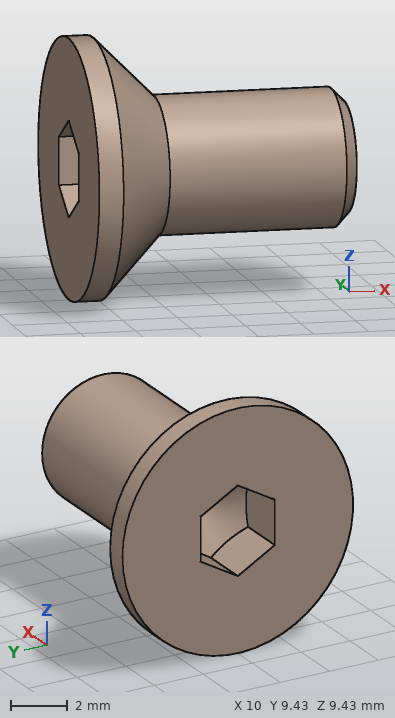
import cadquery as cq
import math

length = 10.0
head_diameter = 9.43
shank_diameter = 5.0
rim_thickness = 0.88
tip_chamfer = 0.48

socket_flats = 3.02
socket_depth = 1.9
drill_point_angle = 120.0

head_radius = head_diameter / 2
shank_radius = shank_diameter / 2
head_height = rim_thickness + head_radius - shank_radius
socket_corner_radius = socket_flats / math.sqrt(3)
drill_point_height = socket_corner_radius / math.tan(math.radians(drill_point_angle / 2))


def make_body():
    """Revolve the half profile of head, shank and chamfered tip about X."""
    profile = [
        (0, 0),
        (0, head_radius),
        (rim_thickness, head_radius),
        (head_height, shank_radius),
        (length - tip_chamfer, shank_radius),
        (length, shank_radius - tip_chamfer),
        (length, 0),
    ]
    return cq.Workplane("XY").polyline(profile).close().revolve(360, (0, 0), (1, 0))


def make_socket():
    """Hexagonal prism, corners on +Z and -Z, trimmed to a conical bottom."""
    full_depth = socket_depth + drill_point_height
    hexagon = (
        cq.Workplane("YZ")
        .polygon(6, 2 * socket_corner_radius)
        .extrude(full_depth)
        .rotate((0, 0, 0), (1, 0, 0), 90)
    )
    drill_profile = [
        (0, 0),
        (0, socket_corner_radius),
        (socket_depth, socket_corner_radius),
        (full_depth, 0),
    ]
    drill = cq.Workplane("XY").polyline(drill_profile).close().revolve(360, (0, 0), (1, 0))
    return hexagon.intersect(drill)


result = make_body().cut(make_socket())